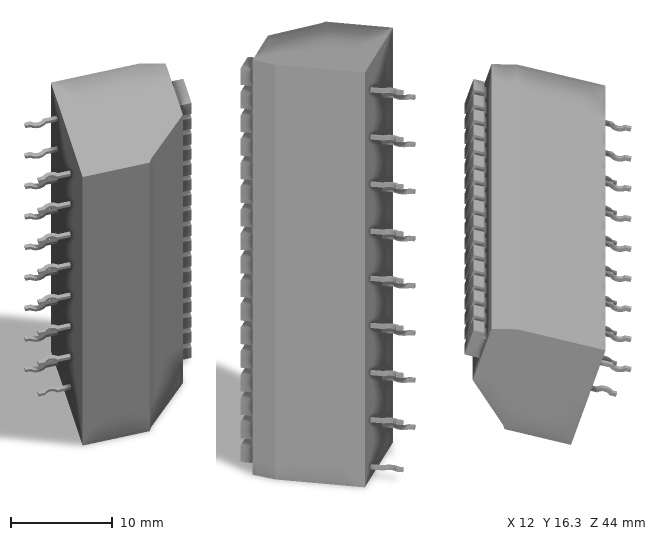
import cadquery as cq
import math

length = 44.0
width = 12.0
depth = 11.5
small_bevel_x = 0.65
small_bevel_y = 2.45
slope_start_x = 7.15
slope_end_x = 11.55
slope_end_y = 7.1
side_face_y = 6.8

pole_count = 17
pole_span = 40.0
pitch = pole_span / (pole_count - 1)

first_button_z = 1.65
button_left_x = 1.85
button_width = 3.1
button_height = 1.5
button_length = 1.75
neck_setback = 0.6
neck_height = 0.35

first_pin_z = 1.25
left_column_x = 2.4
column_spacing = 5.0
pin_thickness = 0.4
pin_length = 3.3
kink_y = -2.02
kink_half_chord = 0.6
kink_offset = 0.3


def make_housing():
    return (
        cq.Workplane("XY")
        .moveTo(0, 0)
        .lineTo(width, 0)
        .lineTo(width, side_face_y)
        .lineTo(slope_end_x, slope_end_y)
        .lineTo(slope_start_x, depth)
        .lineTo(small_bevel_x, depth)
        .lineTo(0, depth - small_bevel_y)
        .close()
        .extrude(length)
    )


def make_button(z):
    """Button with an undercut head, centred on height z."""
    right_x = button_left_x + button_width
    neck_x = button_left_x + neck_setback
    head_y = depth + neck_height
    top_y = depth + button_height
    return (
        cq.Workplane("XY", origin=(0, 0, z))
        .moveTo(neck_x, depth)
        .lineTo(right_x, depth)
        .lineTo(right_x, top_y)
        .lineTo(button_left_x, top_y)
        .lineTo(button_left_x, head_y)
        .lineTo(neck_x, head_y)
        .close()
        .extrude(button_length / 2, both=True)
    )


def make_pin(x, z, bulge):
    """Pin centred on (x, z); bulge is +1 for a kink toward +X, -1 toward -X."""
    hollow_x = x - bulge * pin_thickness / 2
    outer_x = x + bulge * pin_thickness / 2

    hollow_radius = (kink_half_chord**2 + kink_offset**2) / (2 * kink_offset)
    outer_radius = hollow_radius + pin_thickness
    centre_to_outer = outer_radius - kink_offset
    outer_half_chord = math.sqrt(outer_radius**2 - centre_to_outer**2)

    return (
        cq.Workplane("XY", origin=(0, 0, z))
        .moveTo(hollow_x, 0)
        .lineTo(hollow_x, kink_y + kink_half_chord)
        .threePointArc(
            (hollow_x + bulge * kink_offset, kink_y),
            (hollow_x, kink_y - kink_half_chord),
        )
        .lineTo(hollow_x, -pin_length)
        .lineTo(outer_x, -pin_length)
        .lineTo(outer_x, kink_y - outer_half_chord)
        .threePointArc(
            (outer_x + bulge * kink_offset, kink_y),
            (outer_x, kink_y + outer_half_chord),
        )
        .lineTo(outer_x, 0)
        .close()
        .extrude(pin_thickness / 2, both=True)
    )


result = make_housing()
for pole in range(pole_count):
    result = result.union(make_button(first_button_z + pole * pitch))

    pin_z = first_pin_z + pole * pitch
    if pole % 2 == 0:
        pin = make_pin(left_column_x, pin_z, 1)
    else:
        pin = make_pin(left_column_x + column_spacing, pin_z, -1)
    result = result.union(pin)